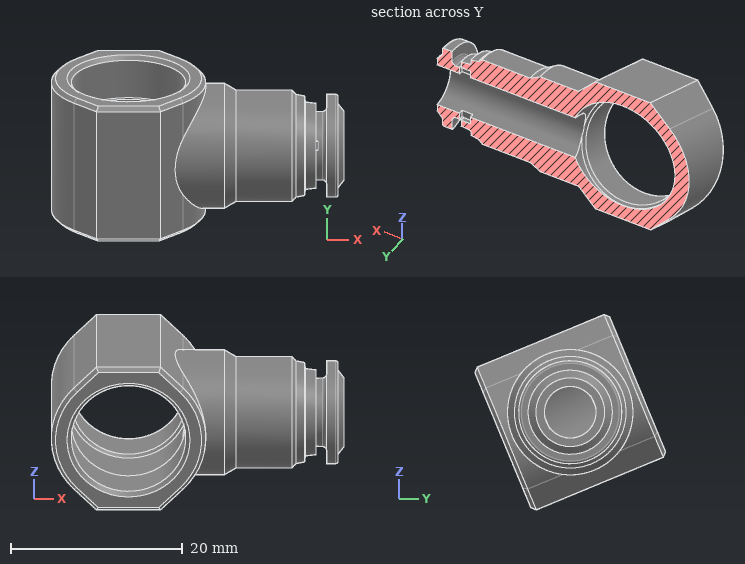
import cadquery as cq
import math

tilt_angle = 22.5
body_size = 18.0
face_angle = 45.0
body_length = 17.0
body_chamfer = 0.5

bore_radius = 6.65
bore_chamfer = 0.5
groove_depth = 0.35
groove_width = 6.6

collar_radius = 7.3
collar_end = 11.15
barrel_radius = 6.5
barrel_start = 12.5
barrel_end = 19.0
cap_start_radius = 6.0
cap_start = 19.5
cap_end_radius = 5.8
cap_end = 20.5
ring_start_radius = 5.1
ring_start = 20.6
ring_end_radius = 4.95
ring_end = 21.85

collet_radius = 4.0
collet_end = 25.1
slit_width = 1.0
slit_end = 22.05
flange_radius = 6.0
flange_start = 23.05
flange_end = 24.4
flange_rounding = 0.3
root_fillet = 0.5
nose_start_radius = 4.9
nose_end_radius = 4.0

tube_bore_radius = 3.0


def revolve_about_x(profile):
    return profile.close().revolve(360, (0, 0, 0), (1, 0, 0))


def banjo_body():
    """Round at the sides; flats and sloping faces above and below, tangent to the barrel."""
    radius = body_size / 2
    tangent = radius * math.cos(math.radians(face_angle))
    half_flat = radius * math.tan(math.radians(face_angle / 2))
    outline = (
        cq.Workplane("XZ")
        .moveTo(-half_flat, radius)
        .lineTo(half_flat, radius)
        .lineTo(tangent, tangent)
        .threePointArc((radius, 0), (tangent, -tangent))
        .lineTo(half_flat, -radius)
        .lineTo(-half_flat, -radius)
        .lineTo(-tangent, -tangent)
        .threePointArc((-radius, 0), (-tangent, tangent))
        .close()
    )
    return outline.extrude(body_length / 2, both=True).faces("<Y or >Y").chamfer(body_chamfer)


def banjo_bore():
    """Straight bore with a chamfered mouth at each end and the slope-sided groove between them."""
    mouth_radius = bore_radius + bore_chamfer
    groove_radius = bore_radius + groove_depth
    half_length = body_length / 2
    half_groove = groove_width / 2
    half_floor = half_groove - groove_depth
    half_profile = (
        cq.Workplane("XY")
        .lineTo(groove_radius, 0)
        .lineTo(groove_radius, half_floor)
        .lineTo(bore_radius, half_groove)
        .lineTo(bore_radius, half_length - bore_chamfer)
        .lineTo(mouth_radius, half_length)
        .lineTo(0, half_length)
        .close()
    )
    half_bore = half_profile.revolve(360, (0, 0, 0), (0, 1, 0))
    return half_bore.union(half_bore.mirror("XZ"))


def stem():
    """Stepped sleeve from the bore axis to the retaining ring, with a seat for the collet."""
    return revolve_about_x(
        cq.Workplane("XY")
        .lineTo(0, collar_radius)
        .lineTo(collar_end, collar_radius)
        .lineTo(barrel_start, barrel_radius)
        .lineTo(barrel_end, barrel_radius)
        .lineTo(cap_start, cap_start_radius)
        .lineTo(cap_end, cap_end_radius)
        .lineTo(ring_start, ring_start_radius)
        .lineTo(ring_end, ring_end_radius)
        .lineTo(ring_end, collet_radius)
        .lineTo(ring_start, collet_radius)
        .lineTo(ring_start, 0)
    )


def collet():
    """Sleeve and push flange; the slit passes right through the sleeve along Z."""
    sleeve = revolve_about_x(
        cq.Workplane("XY")
        .moveTo(ring_start, 0)
        .lineTo(ring_start, collet_radius)
        .lineTo(flange_start - root_fillet, collet_radius)
        .radiusArc((flange_start, collet_radius + root_fillet), -root_fillet)
        .lineTo(flange_start, flange_radius)
        .lineTo(flange_end - flange_rounding, flange_radius)
        .radiusArc((flange_end, flange_radius - flange_rounding), flange_rounding)
        .lineTo(flange_end, nose_start_radius)
        .lineTo(collet_end, nose_end_radius)
        .lineTo(collet_end, 0)
    )
    slit_length = slit_end - ring_start
    slit_height = 2 * flange_radius
    slit = cq.Workplane("XY").box(slit_length, slit_width, slit_height)
    return sleeve.cut(slit.translate((ring_start + slit_length / 2, 0, 0)))


def tube_bore():
    """Straight passage from the banjo bore out through the collet."""
    return cq.Workplane("YZ").circle(tube_bore_radius).extrude(collet_end)


fitting = banjo_body().union(stem()).cut(banjo_bore())
fitting = fitting.rotate((0, 0, 0), (1, 0, 0), tilt_angle)
result = fitting.union(collet()).cut(tube_bore())